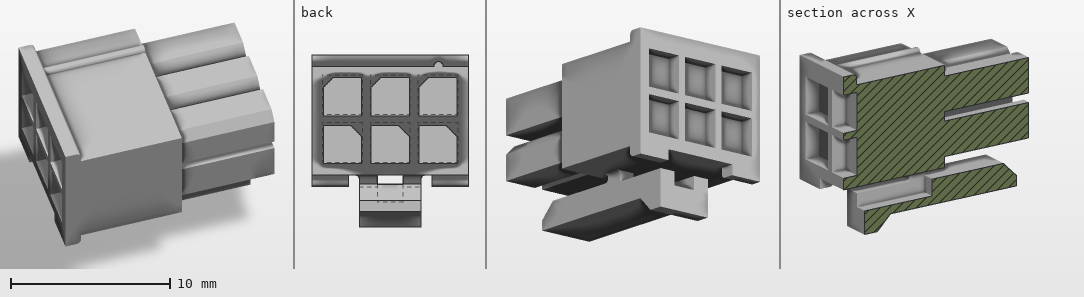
import cadquery as cq

LENGTH = 14.0
WIDTH = 9.85
OVERALL_HEIGHT = 10.84

BODY_END = 7.67
BODY_HEIGHT = 6.85
FLANGE_THICKNESS = 1.02
FLANGE_LIP = 0.71
FLANGE_FILLET = 0.3
FLANGE_NOTCH_WIDTH = 5.25

PITCH = 3.0
COLUMNS = (-PITCH, 0, PITCH)
POCKET_SIDE = 2.5
POCKET_DEPTH = 1.01
POCKET_TOP_ROW_Z = 5.05

PIN_SIDE = 2.4
PIN_TOP_ROW_Z = 4.93
PIN_TOP_CHAMFER = 0.59
PIN_BOTTOM_CHAMFER = 0.69

RIB_RADIUS = 0.3
RIB_X = -3.04

LATCH_WIDTH = 3.88
LATCH_FRONT = 1.57
LATCH_REAR = 13.12
LATCH_BOTTOM = BODY_HEIGHT + FLANGE_LIP - OVERALL_HEIGHT
HOOK_FLAT = 1.0
HOOK_DROP = 1.0
HOOK_TOP = LATCH_BOTTOM + 2.52
ARM_TOP = LATCH_BOTTOM + 2.72
TAIL_CHAMFER = 1.04
POST_FRONT = 5.56
POST_REAR = 6.69
POST_TOP_FILLET = 0.24
POST_REAR_FILLET = 0.28
POST_FRONT_FILLET = 0.17
SLOT_WIDTH = 1.62
SLOT_FLOOR = LATCH_BOTTOM + 1.6


def box(x_range, y_range, z_range):
    """Axis-aligned block between the given limits."""
    limits = (x_range, y_range, z_range)
    sizes = [high - low for low, high in limits]
    corner = tuple(low for low, high in limits)
    return cq.Workplane("XY").box(*sizes, centered=False).translate(corner)


def centred(width, middle=0):
    """Limits of a span of the given width around its middle."""
    return (middle - width / 2, middle + width / 2)


def nearest(x, y, z):
    """Selector for the edge whose middle lies closest to a point."""
    return cq.selectors.NearestToPointSelector((x, y, z))


def make_housing():
    body = box(centred(WIDTH), (0, BODY_END), (0, BODY_HEIGHT))
    flange = box(centred(WIDTH), (0, FLANGE_THICKNESS), (-FLANGE_LIP, BODY_HEIGHT + FLANGE_LIP))
    flange = flange.faces(">Y").edges("|X").fillet(FLANGE_FILLET)
    notch = box(centred(FLANGE_NOTCH_WIDTH), (0, FLANGE_THICKNESS), (-FLANGE_LIP, 0))
    return body.union(flange.cut(notch))


def make_rib():
    profile = (
        cq.Workplane("XZ", origin=(RIB_X, FLANGE_THICKNESS, BODY_HEIGHT))
        .moveTo(-RIB_RADIUS, 0)
        .threePointArc((0, RIB_RADIUS), (RIB_RADIUS, 0))
        .close()
    )
    return profile.extrude(FLANGE_THICKNESS - BODY_END)


def make_pockets():
    pockets = cq.Workplane("XY")
    for z in (POCKET_TOP_ROW_Z, POCKET_TOP_ROW_Z - PITCH):
        for x in COLUMNS:
            pockets = pockets.add(box(centred(POCKET_SIDE, x), (0, POCKET_DEPTH), centred(POCKET_SIDE, z)))
    return pockets.combine()


def make_pin(x, z, chamfer_side, chamfer):
    """Square pin with one upper edge cut off: chamfer_side is +1 for +X and -1 for -X."""
    half = PIN_SIDE / 2
    profile = [
        (-half, -half),
        (half, -half),
        (half, half - chamfer),
        (half - chamfer, half),
        (-half, half),
    ]
    points = [(x + chamfer_side * px, z + pz) for px, pz in profile]
    rear_face = cq.Workplane("XZ", origin=(0, BODY_END, 0))
    return rear_face.polyline(points).close().extrude(BODY_END - LENGTH)


def make_latch():
    arm_bottom = LATCH_BOTTOM + HOOK_DROP
    hook_end = LATCH_FRONT + HOOK_FLAT
    profile = [
        (LATCH_FRONT, LATCH_BOTTOM),
        (hook_end, LATCH_BOTTOM),
        (hook_end + HOOK_DROP, arm_bottom),
        (LATCH_REAR, arm_bottom),
        (LATCH_REAR, ARM_TOP - TAIL_CHAMFER),
        (LATCH_REAR - TAIL_CHAMFER, ARM_TOP),
        (POST_REAR, ARM_TOP),
        (POST_REAR, 0),
        (POST_FRONT, 0),
        (POST_FRONT, HOOK_TOP),
        (LATCH_FRONT, HOOK_TOP),
    ]
    latch = cq.Workplane("YZ").polyline(profile).close().extrude(LATCH_WIDTH / 2, both=True)
    latch = latch.edges(nearest(0, POST_REAR, ARM_TOP)).fillet(POST_REAR_FILLET)
    return latch.edges(nearest(0, POST_FRONT, HOOK_TOP)).fillet(POST_FRONT_FILLET)


def fillet_post_top(part):
    """Round the post into the body along its rear and both sides."""
    middle = (POST_FRONT + POST_REAR) / 2
    half = LATCH_WIDTH / 2
    edges = cq.Workplane("XY")
    for point in ((0, POST_REAR, 0), (half, middle, 0), (-half, middle, 0)):
        edges = edges.add(part.edges(nearest(*point)))
    return part.newObject(edges.vals()).fillet(POST_TOP_FILLET)


def make_latch_slot():
    """Slot that splits the post in two and runs forward through the top of the hook."""
    through_hook = box(centred(SLOT_WIDTH), (LATCH_FRONT, POST_REAR), (SLOT_FLOOR, 0))
    above_arm = box(centred(SLOT_WIDTH), (POST_REAR, POST_REAR + POST_REAR_FILLET), (ARM_TOP, 0))
    return through_hook.union(above_arm)


result = fillet_post_top(make_housing().union(make_latch()))
result = result.cut(make_latch_slot())
result = result.union(make_rib())
result = result.cut(make_pockets())
for column_x in COLUMNS:
    result = result.union(make_pin(column_x, PIN_TOP_ROW_Z, 1, PIN_TOP_CHAMFER))
    result = result.union(make_pin(column_x, PIN_TOP_ROW_Z - PITCH, -1, PIN_BOTTOM_CHAMFER))